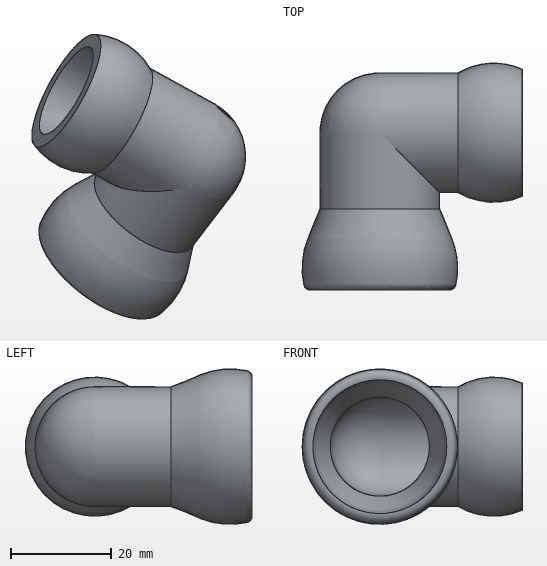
import cadquery as cq
import math

tube_radius = 11.95
bore_radius = 9.85

ball_radius = 13.88
ball_center = 22.7
ball_face = 28.4

socket_outer_radius = 15.5
socket_inner_radius = 13.75
lip_radius = 13.35
socket_center = 26.95
socket_face = 31.32
flare_start = 15.15
outer_flare_end = 21.05
inner_flare_end = 21.75
rim_fillet = 1.35


def sphere_section(sphere_radius, axial_offset):
    """Radius of the circle cut from a sphere at an axial offset from its center."""
    return math.sqrt(sphere_radius**2 - axial_offset**2)


def elbow(radius, ball_length, socket_length):
    """Two cylinders joined by a sphere at the corner."""
    corner = cq.Workplane("XY").sphere(radius)
    ball_leg = cq.Workplane("YZ").circle(radius).extrude(ball_length)
    socket_leg = cq.Workplane("XZ").circle(radius).extrude(socket_length)
    return corner.union(ball_leg).union(socket_leg)


def ball_end():
    """Sphere zone between the tube and the flat end face, revolved about X."""
    tube_offset = sphere_section(ball_radius, tube_radius)
    face_radius = sphere_section(ball_radius, ball_face - ball_center)
    return (
        cq.Workplane("XY")
        .moveTo(ball_center - tube_offset, 0)
        .lineTo(ball_center - tube_offset, tube_radius)
        .threePointArc((ball_center, ball_radius), (ball_face, face_radius))
        .lineTo(ball_face, 0)
        .close()
        .revolve(360, (0, 0, 0), (1, 0, 0))
    )


def flared_cup(neck_radius, cup_radius, flare_end, mouth):
    """Cone opening into a sphere zone that stops at the mouth, about Y."""
    flare_radius = sphere_section(cup_radius, socket_center - flare_end)
    mouth_radius = sphere_section(cup_radius, mouth - socket_center)
    return (
        cq.Workplane("XY")
        .moveTo(0, -flare_start)
        .lineTo(neck_radius, -flare_start)
        .lineTo(flare_radius, -flare_end)
        .threePointArc((cup_radius, -socket_center), (mouth_radius, -mouth))
        .lineTo(0, -mouth)
        .close()
        .revolve(360, (0, 0, 0), (0, 1, 0))
    )


socket_blank = flared_cup(tube_radius, socket_outer_radius, outer_flare_end, socket_face)
socket_body = socket_blank.faces("<Y").edges().fillet(rim_fillet)

lip_end = socket_center + sphere_section(socket_inner_radius, lip_radius)
socket_cavity = flared_cup(bore_radius, socket_inner_radius, inner_flare_end, lip_end)
lip_opening = (
    cq.Workplane("XZ", origin=(0, -lip_end, 0))
    .circle(lip_radius)
    .extrude(socket_face - lip_end)
)

body = elbow(tube_radius, ball_center, flare_start).union(ball_end()).union(socket_body)
bore = elbow(bore_radius, ball_face, flare_start)
result = body.cut(bore).cut(socket_cavity).cut(lip_opening)